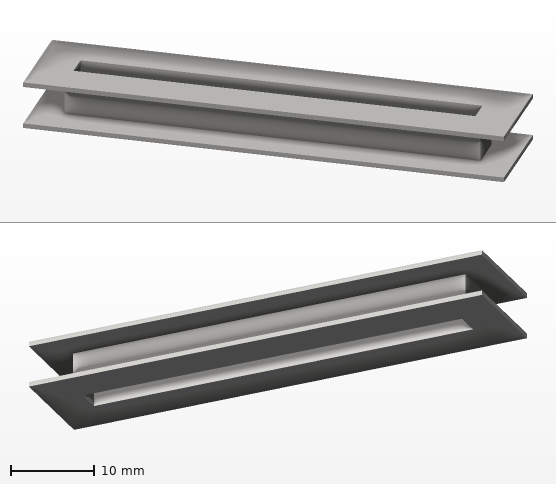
import cadquery as cq

length = 60.0
width = 13.0
height = 6.0

flange_thickness = 0.6
flange_overhang = 4.0
wall_thickness = 0.9

core_length = length - 2 * flange_overhang
core_width = width - 2 * flange_overhang
slot_length = core_length - 2 * wall_thickness
slot_width = core_width - 2 * wall_thickness


def upright_block(block_length, block_width, block_height, bottom=0.0):
    """Box centred in X and Y, standing on the given level."""
    return (
        cq.Workplane("XY", origin=(0, 0, bottom))
        .rect(block_length, block_width)
        .extrude(block_height)
    )


body = upright_block(core_length, core_width, height)
for flange_bottom in (0.0, height - flange_thickness):
    body = body.union(upright_block(length, width, flange_thickness, flange_bottom))

result = body.cut(upright_block(slot_length, slot_width, height))